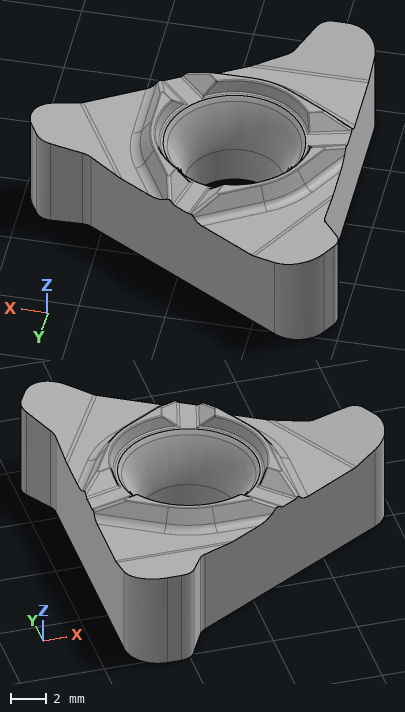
import cadquery as cq
import math

REPEAT = 3
REPEAT_ANGLE = 360 / REPEAT

edge_distance = 6.35
tip_distance = 10.7
nose_corner_x = -2.91
flank_angle = 62.2
nose_radius = 2.0
flank_radius = 1.0

top_z = 6.05
valley_z = 4.95
channel_z = 5.29

ramp_start = 7.05
ramp_angle = 15
ramp_blend_radius = 0.8

boss_foot = 5.93
boss_draft = 35
boss_foot_radius = 0.69
boss_arc_angle = 30
boss_edge_radius = 0.08

channel_direction = -45
channel_offset = -0.06
channel_half_width = 0.56
channel_wall_run = 0.95
channel_floor_radius = 0.25
ridge_radius = 0.19

bore_radius = 5.7 / 2
seat_curve_radius = 4.45
seat_radius = 3.83
lip_radius = 4.05
lip_height = 0.25
ledge_radius = 4.29
recess_radius = 4.52
recess_floor_radius = 0.1

REACH = 16.65
TOUCH = 0.002
CLEAR = 1.05


def polar(distance, degrees):
    angle = math.radians(degrees)
    return cq.Vector(distance * math.cos(angle), distance * math.sin(angle))


def spin(shape, degrees):
    return shape.rotate((0, 0, 0), (0, 0, 1), degrees)


def rounded_outline(corners):
    """Closed outline through sharp corners (point, radius), each replaced by a tangent arc."""
    stretches = []
    for i, (corner, radius) in enumerate(corners):
        before = (corners[i - 1][0] - corner).normalized()
        after = (corners[(i + 1) % len(corners)][0] - corner).normalized()
        half_angle = before.getAngle(after) / 2
        setback = radius / math.tan(half_angle)
        bisector = (before + after).normalized()
        middle = corner + bisector * (radius / math.sin(half_angle) - radius)
        stretches.append((corner + before * setback, middle, corner + after * setback))
    last_end = stretches[-1][2]
    outline = cq.Workplane("XY").moveTo(last_end.x, last_end.y)
    for start, middle, end in stretches:
        outline = outline.lineTo(start.x, start.y)
        outline = outline.threePointArc((middle.x, middle.y), (end.x, end.y))
    return outline.close()


def make_body():
    flank = polar(1, flank_angle)
    side_normal = polar(1, REPEAT_ANGLE - 180)
    nose_corner = cq.Vector(nose_corner_x, -tip_distance)
    flank_length = (edge_distance - nose_corner.dot(side_normal)) / flank.dot(side_normal)
    lobe = [
        (cq.Vector(-edge_distance, -tip_distance), nose_radius),
        (nose_corner, flank_radius),
        (nose_corner + flank * flank_length, flank_radius),
    ]
    corners = []
    for i in range(REPEAT):
        turn = math.radians(i * REPEAT_ANGLE)
        for point, radius in lobe:
            turned = cq.Vector(
                point.x * math.cos(turn) - point.y * math.sin(turn),
                point.x * math.sin(turn) + point.y * math.cos(turn),
            )
            corners.append((turned, radius))
    return rounded_outline(corners).extrude(top_z)


def boss_wall_profile():
    """Material removed outside the boss: radial distance along X, height along Z."""
    slope = math.radians(90 - boss_draft)

    def foot_point(turn):
        return (
            boss_foot - boss_foot_radius * math.sin(turn),
            valley_z + boss_foot_radius * (1 - math.cos(turn)),
        )

    foot_mid = foot_point(slope / 2)
    foot_end = foot_point(slope)
    cutter_top = top_z + CLEAR
    wall_top = foot_end[0] - (cutter_top - foot_end[1]) * math.tan(math.radians(boss_draft))
    return (
        cq.Workplane("XZ")
        .moveTo(REACH, valley_z)
        .lineTo(boss_foot, valley_z)
        .threePointArc(foot_mid, foot_end)
        .lineTo(wall_top, cutter_top)
        .lineTo(REACH, cutter_top)
        .close()
    )


def make_ramp():
    """Wedge under the right-hand lobe's rake face, blended into the valley floor."""
    angle = math.radians(ramp_angle)
    setback = ramp_blend_radius * math.tan(angle / 2)
    blend_start = ramp_start - setback
    blend_mid = (
        blend_start + ramp_blend_radius * math.sin(angle / 2),
        valley_z + ramp_blend_radius * (1 - math.cos(angle / 2)),
    )
    blend_end = (ramp_start + setback * math.cos(angle), valley_z + setback * math.sin(angle))
    ramp = (
        cq.Workplane("XZ")
        .moveTo(blend_start, valley_z)
        .threePointArc(blend_mid, blend_end)
        .lineTo(REACH, valley_z + (REACH - ramp_start) * math.tan(angle))
        .lineTo(REACH, valley_z - CLEAR)
        .lineTo(blend_start, valley_z - CLEAR)
        .close()
        .extrude(REACH, both=True)
    )
    return spin(ramp, boss_arc_angle)


def make_valley_cutter():
    """Clears one lobe: straight wall, conical corner, straight wall, above the ramp."""
    run = edge_distance
    lower = boss_wall_profile().extrude(run)
    corner = boss_wall_profile().revolve(boss_arc_angle, (0, 0, 0), (0, 1, 0))
    upper = spin(boss_wall_profile().extrude(-run), boss_arc_angle)
    return lower.union(corner).union(upper).cut(make_ramp())


def make_channel_cutter():
    wall_slope = channel_wall_run / (top_z - channel_z)
    cutter_top = top_z + CLEAR
    top_half_width = channel_half_width + (cutter_top - channel_z) * wall_slope
    channel = (
        cq.Workplane("YZ")
        .polyline([
            (-channel_half_width, channel_z),
            (channel_half_width, channel_z),
            (top_half_width, cutter_top),
            (-top_half_width, cutter_top),
        ])
        .close()
        .extrude(REACH)
        .edges("|X and <Z")
        .fillet(channel_floor_radius)
        .translate((0, channel_offset, 0))
    )
    return spin(channel, channel_direction)


def make_bore_cutter():
    """Through bore, trumpet seat, rounded lip, flat ledge and flared recess."""
    seat_sweep = math.acos(1 - (seat_radius - bore_radius) / seat_curve_radius)
    seat_top = channel_z - lip_height
    seat_bottom = seat_top - seat_curve_radius * math.sin(seat_sweep)
    seat_mid = (
        bore_radius + seat_curve_radius * (1 - math.cos(seat_sweep / 2)),
        seat_bottom + seat_curve_radius * math.sin(seat_sweep / 2),
    )
    recess_slope = math.atan2(top_z - channel_z, recess_radius - ledge_radius)
    floor_setback = recess_floor_radius * math.tan(recess_slope / 2)
    floor_start = (ledge_radius - floor_setback, channel_z)
    floor_mid = (
        floor_start[0] + recess_floor_radius * math.sin(recess_slope / 2),
        channel_z + recess_floor_radius * (1 - math.cos(recess_slope / 2)),
    )
    floor_end = (
        ledge_radius + floor_setback * math.cos(recess_slope),
        channel_z + floor_setback * math.sin(recess_slope),
    )
    return (
        cq.Workplane("XZ")
        .moveTo(0, -CLEAR)
        .lineTo(bore_radius, -CLEAR)
        .lineTo(bore_radius, seat_bottom)
        .threePointArc(seat_mid, (seat_radius, seat_top))
        .tangentArcPoint((lip_radius, channel_z), relative=False)
        .lineTo(*floor_start)
        .threePointArc(floor_mid, floor_end)
        .lineTo(recess_radius, top_z)
        .lineTo(recess_radius, top_z + CLEAR)
        .lineTo(0, top_z + CLEAR)
        .close()
        .revolve(360, (0, 0, 0), (0, 1, 0))
    )


def ridge_edges(body, radius_min, radius_max):
    """Edges climbing to the top face whose middle lies between two distances from the axis."""
    ridges = []
    for edge in body.edges().vals():
        box = edge.BoundingBox()
        middle = edge.positionAt(0.5)
        climbs_to_top = box.zmax > top_z - TOUCH and box.zmin < top_z - TOUCH
        if climbs_to_top and radius_min < math.hypot(middle.x, middle.y) < radius_max:
            ridges.append(edge)
    return ridges


def round_raised_edges(body):
    """Rounds the outer ridges, then the inner ridges together with the rim of the top faces."""
    inner_ridges = ridge_edges(body, bore_radius, recess_radius)
    body = body.newObject(ridge_edges(body, boss_foot - boss_foot_radius, REACH)).fillet(ridge_radius)
    top_rim = body.faces(">Z").edges().vals()
    return body.newObject(top_rim + inner_ridges).fillet(boss_edge_radius)


body = make_body()
valley = make_valley_cutter()
channel = make_channel_cutter()
for i in range(REPEAT):
    body = body.cut(spin(valley, i * REPEAT_ANGLE))
for i in range(REPEAT):
    body = body.cut(spin(channel, i * REPEAT_ANGLE))
body = body.cut(make_bore_cutter())
result = round_raised_edges(body)